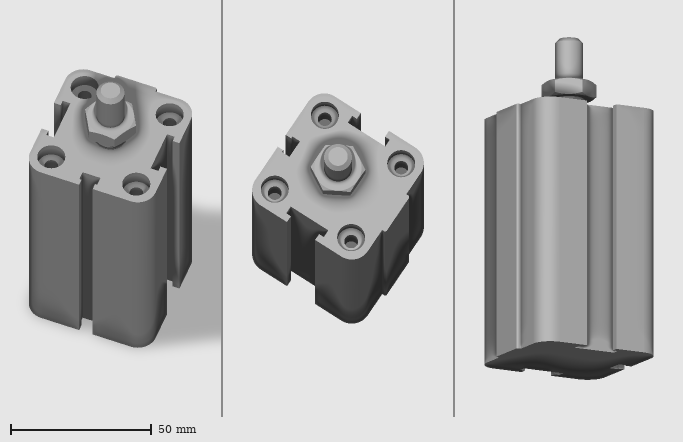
import cadquery as cq
import math

total_height = 117.5

housing_width = 48.0
housing_depth = 47.9
housing_height = 89.5
corner_radius = 6.8

rib_width = 15.7
rib_height = 1.5
rib_chamfer = 0.5

side_slot_mouth = 12.0
side_slot_width = 16.0
side_slot_lip = 2.6
front_slot_mouth = 5.2
front_slot_width = 6.8
front_slot_lip = 2.4
slot_depth = 5.5

hole_spacing = 32.5
hole_diameter = 4.9
hole_depth = 14.6
counterbore_diameter = 10.0
counterbore_depth = 5.5

base_ring_diameter = 12.0
base_ring_height = 0.5
base_ring_bevel_height = 0.4
neck_diameter = 11.8
neck_height = 6.0
neck_chamfer = 0.5
flats_start = 1.0
across_flats = 10.0
stud_diameter = 10.0
stud_chamfer = 1.5

nut_across_flats = 16.9
nut_height = 6.0
nut_face_diameter = 16.8
nut_chamfer_angle = 30.0
shoulder_z = housing_height + neck_height


def t_slot(mouth, width, lip, wall, angle):
    """T-shaped cutter over the full height, entering a wall that faces the given direction about Z."""
    throat = cq.Workplane("XY").box(slot_depth, mouth, housing_height, centered=(False, True, False))
    chamber = cq.Workplane("XY").box(slot_depth - lip, width, housing_height, centered=(False, True, False))
    slot = throat.union(chamber).translate((wall - slot_depth, 0, 0))
    return slot.rotate((0, 0, 0), (0, 0, 1), angle)


def make_housing():
    body = cq.Workplane("XY").rect(housing_width, housing_depth).extrude(housing_height)
    body = body.edges("|Z").fillet(corner_radius)

    rib_root = housing_depth / 2 - rib_height
    rib = cq.Workplane("XY").box(rib_width, 2 * rib_height, housing_height, centered=(True, False, False))
    rib = rib.faces(">Y").edges("|Z").chamfer(rib_chamfer)
    body = body.union(rib.translate((0, rib_root, 0)))

    for angle in (0, 180):
        body = body.cut(t_slot(side_slot_mouth, side_slot_width, side_slot_lip, housing_width / 2, angle))
    body = body.cut(t_slot(front_slot_mouth, front_slot_width, front_slot_lip, housing_depth / 2, -90))

    return (
        body.faces(">Z").workplane(origin=(0, 0, housing_height))
        .rect(hole_spacing, hole_spacing, forConstruction=True).vertices()
        .cboreHole(hole_diameter, counterbore_diameter, counterbore_depth, depth=hole_depth)
    )


def flat_cutters():
    """Two blocks that leave the wrench flats on the front and back of the neck."""
    block = cq.Workplane("XY").box(
        base_ring_diameter, base_ring_diameter, neck_height - flats_start, centered=(True, False, False)
    )
    flats_z = housing_height + flats_start
    back = block.translate((0, across_flats / 2, flats_z))
    return back.union(back.mirror("XZ"))


def make_rod():
    """Base ring beveled down to the neck, neck with two wrench flats, then the chamfered stud."""
    foot = cq.Workplane("XY", origin=(0, 0, housing_height))
    base_ring = foot.circle(base_ring_diameter / 2).extrude(base_ring_height)
    bevel_width = (base_ring_diameter - neck_diameter) / 2
    base_ring = base_ring.faces(">Z").chamfer(base_ring_bevel_height, bevel_width)
    neck = foot.circle(neck_diameter / 2).extrude(neck_height).faces(">Z").chamfer(neck_chamfer)
    stud = cq.Workplane("XY", origin=(0, 0, shoulder_z)).circle(stud_diameter / 2)
    stud = stud.extrude(total_height - shoulder_z).faces(">Z").chamfer(stud_chamfer)
    return base_ring.union(neck).cut(flat_cutters()).union(stud)


def make_nut():
    nut_corner_diameter = nut_across_flats / math.cos(math.pi / 6)
    nut_corner_radius = nut_corner_diameter / 2
    face_radius = nut_face_diameter / 2
    corner_drop = (nut_corner_radius - face_radius) * math.tan(math.radians(nut_chamfer_angle))
    hexagon = cq.Workplane("XY").polygon(6, nut_corner_diameter).extrude(nut_height)

    envelope = (
        cq.Workplane("XZ")
        .polyline([
            (0, 0),
            (face_radius, 0),
            (nut_corner_radius, corner_drop),
            (nut_corner_radius, nut_height - corner_drop),
            (face_radius, nut_height),
            (0, nut_height),
        ])
        .close().revolve(360, (0, 0, 0), (0, 1, 0))
    )
    bore = cq.Workplane("XY").circle(stud_diameter / 2).extrude(nut_height)
    return hexagon.intersect(envelope).cut(bore).translate((0, 0, shoulder_z))


housing = make_housing()
rod = make_rod()
nut = make_nut()

bodies = [body.solids().val() for body in (housing, rod, nut)]
result = cq.Compound.makeCompound(bodies)